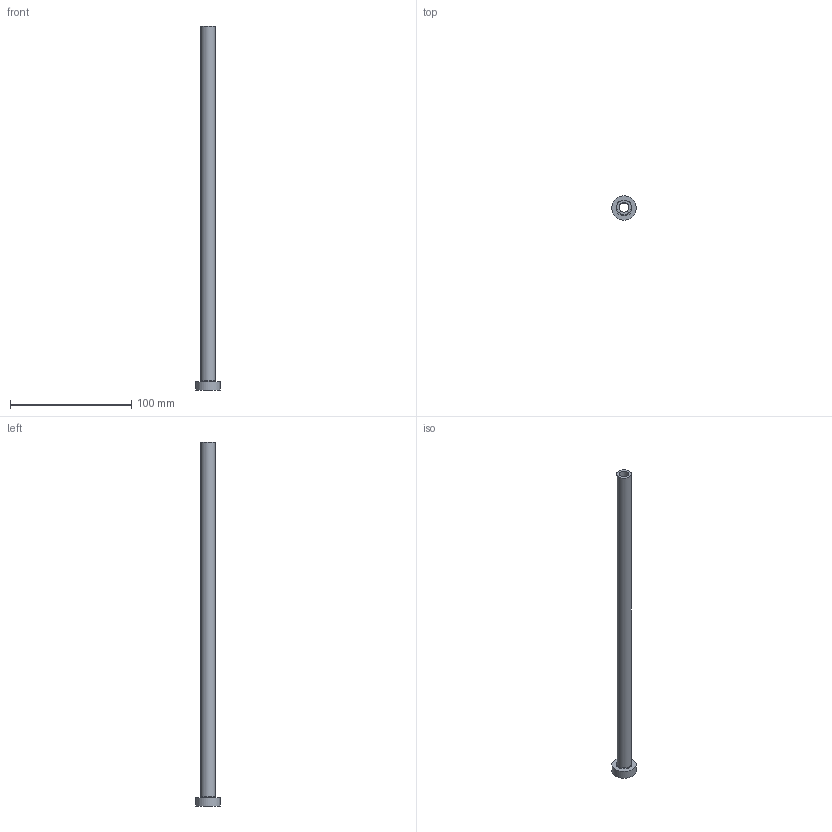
import cadquery as cq

total_length = 300.0
head_diameter = 20.0
head_height = 7.0
shank_diameter = 12.0
bore_diameter = 8.0
neck_fillet_radius = 0.5

head_radius = head_diameter / 2
shank_radius = shank_diameter / 2
bore_radius = bore_diameter / 2


def sleeve_profile():
    """Half section in the XZ plane: head, concave neck fillet, shank, with the bore left open."""
    fillet_centre_x = shank_radius + neck_fillet_radius
    fillet_top_z = head_height + neck_fillet_radius
    return (
        cq.Workplane("XZ")
        .moveTo(bore_radius, 0)
        .lineTo(head_radius, 0)
        .lineTo(head_radius, head_height)
        .lineTo(fillet_centre_x, head_height)
        .radiusArc((shank_radius, fillet_top_z), neck_fillet_radius)
        .lineTo(shank_radius, total_length)
        .lineTo(bore_radius, total_length)
        .close()
    )


result = sleeve_profile().revolve(360, (0, 0, 0), (0, 1, 0))